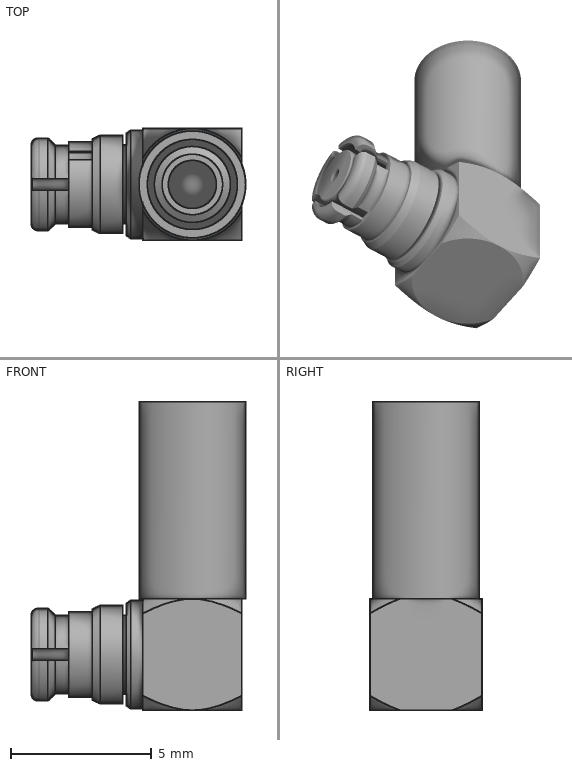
import cadquery as cq
import math


block_length = 3.52
block_width = 3.99
block_height = 3.97
block_crown_radius = 1.99
block_corner_drop = 0.52

total_height = 11.0
sleeve_outer_radius = 1.9
sleeve_inner_radius = 1.61
post_radius = 1.35
post_tip_radius = 1.08
post_bore_radius = 0.86
post_height = 3.3
post_chamfer = post_radius - post_tip_radius

connector_length = 3.98
lip_radius = 1.66
lip_round = 0.26
lip_straight_end = 0.59
neck_start = 0.86
neck_radius = 1.41
barrel_start = 1.33
barrel_radius = 1.53
flange_start = 2.18
flange_edge_radius = 1.62
flange_full_start = 2.45
flange_radius = 1.75
groove_start = 3.27
collar_start = 3.39
collar_edge_radius = 1.82
collar_full_start = 3.55
collar_radius = 1.94

socket_radius = 1.26
socket_depth = 2.2
core_radius = 1.01
core_chamfer = 0.03
contact_radius = 0.21
contact_chamfer = 0.04
contact_depth = 1.1
slot_width = 0.41
key_depth = 0.09
key_angle = 46.9

block_top = block_height / 2
mating_x = -block_length / 2 - connector_length


def make_block():
    """Rectangular block with its corners trimmed by cones at the top and bottom."""
    block = cq.Workplane("XY").box(block_length, block_width, block_height)
    corner_radius = math.hypot(block_length, block_width) / 2
    shoulder_z = block_top - block_corner_drop
    envelope = (
        cq.Workplane("XZ")
        .moveTo(0, -block_top)
        .lineTo(block_crown_radius, -block_top)
        .lineTo(corner_radius, -shoulder_z)
        .lineTo(corner_radius, shoulder_z)
        .lineTo(block_crown_radius, block_top)
        .lineTo(0, block_top)
        .close()
        .revolve(360, (0, 0, 0), (0, 1, 0))
    )
    return block.intersect(envelope)


def make_post():
    """Hollow cable post with a chamfered tip."""
    return (
        cq.Workplane("XY", origin=(0, 0, block_top))
        .circle(post_radius)
        .extrude(post_height)
        .faces(">Z")
        .chamfer(post_chamfer)
        .faces(">Z")
        .workplane()
        .circle(post_bore_radius)
        .cutBlind(-post_height)
    )


def connector_cylinder(start, radius, length):
    """Cylinder on the connector axis, starting at a station from the mating end."""
    return cq.Workplane("YZ", origin=(mating_x + start, 0, 0)).circle(radius).extrude(length)


def make_connector_shell():
    """Stepped outer shell of the connector, revolved about X."""
    round_mid = lip_round * (1 - math.sqrt(0.5))
    return (
        cq.Workplane("XY", origin=(mating_x, 0, 0))
        .lineTo(0, lip_radius - lip_round)
        .threePointArc((round_mid, lip_radius - round_mid), (lip_round, lip_radius))
        .lineTo(lip_straight_end, lip_radius)
        .lineTo(neck_start, neck_radius)
        .lineTo(barrel_start, neck_radius)
        .lineTo(barrel_start, barrel_radius)
        .lineTo(flange_start, barrel_radius)
        .lineTo(flange_start, flange_edge_radius)
        .lineTo(flange_full_start, flange_radius)
        .lineTo(groove_start, flange_radius)
        .lineTo(groove_start, neck_radius)
        .lineTo(collar_start, neck_radius)
        .lineTo(collar_start, collar_edge_radius)
        .lineTo(collar_full_start, collar_radius)
        .lineTo(connector_length, collar_radius)
        .lineTo(connector_length, 0)
        .close()
        .revolve(360, (0, 0, 0), (1, 0, 0))
    )


def make_core():
    """Central core of the socket with its chamfered contact hole."""
    core = connector_cylinder(0, core_radius, socket_depth)
    return (
        core.faces("<X")
        .chamfer(core_chamfer)
        .faces("<X")
        .workplane()
        .cskHole(2 * contact_radius, 2 * (contact_radius + contact_chamfer), 90, contact_depth)
    )


def cut_collet_slots(shell):
    """Two crossed cuts divide the mating end into four spring fingers."""
    for width, height in ((slot_width, 2 * lip_radius), (2 * lip_radius, slot_width)):
        slot = cq.Workplane("YZ", origin=(mating_x, 0, 0)).rect(width, height).extrude(barrel_start)
        shell = shell.cut(slot)
    return shell


def cut_key_groove(shell):
    """Shallow flat-bottomed groove along the barrel."""
    groove = (
        cq.Workplane("YZ", origin=(mating_x + barrel_start, 0, 0))
        .center(barrel_radius, 0)
        .rect(2 * key_depth, slot_width)
        .extrude(flange_start - barrel_start)
        .rotate((0, 0, 0), (1, 0, 0), key_angle)
    )
    return shell.cut(groove)


def make_housing():
    """Elbow block, cable post and connector as one solid."""
    shell = make_connector_shell().cut(connector_cylinder(0, socket_radius, socket_depth))
    shell = cut_key_groove(cut_collet_slots(shell))
    connector = shell.union(make_core())
    return make_block().union(make_post()).union(connector)


def make_sleeve():
    """Crimp sleeve standing on top of the block around the post."""
    return (
        cq.Workplane("XY", origin=(0, 0, block_top))
        .circle(sleeve_outer_radius)
        .circle(sleeve_inner_radius)
        .extrude(total_height - block_height)
    )


housing = make_housing().solids()
sleeve = make_sleeve()
result = cq.Compound.makeCompound([housing.val(), sleeve.val()])